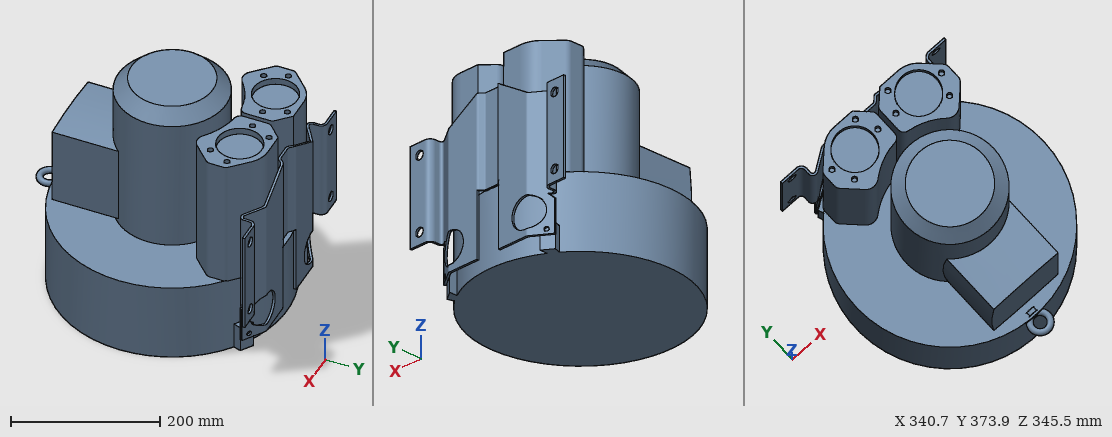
import cadquery as cq
import math

BODY_RADIUS = 170.35
BODY_HEIGHT = 120.0

MOTOR_RADIUS = 79.5
MOTOR_TOP = 345.5
MOTOR_CHAMFER = 19.5

BOX_HALF_WIDTH = 60.0
BOX_FRONT_Y = -150.0
BOX_CENTER_Z = 186.2
BOX_HALF_HEIGHT = 62.0
BOX_BULGE = 3.5

SILENCER_TOP = 317.5
SILENCER_X = 57.8
SILENCER_Y = 126.0
SILENCER_INNER_X = 3.3
SILENCER_OUTER_X = 112.3
SILENCER_BACK_Y = 167.6
SILENCER_OUTER_LOW_Y = 102.7
SILENCER_OUTER_HIGH_Y = 130.0
SILENCER_INNER_CUT = 21.5
SILENCER_EDGE_FILLET = 10.0
SILENCER_BACK_FILLET = 40.0
SILENCER_FRONT_FILLET = 16.5
MOTOR_CLEARANCE_RADIUS = 97.5
PORT_RADIUS = 32.3
PORT_DEPTH = 10.0
PORT_HOLE_CIRCLE = 41.5
PORT_HOLE_DIAMETER = 8.2
PORT_HOLE_TILT = 47.0

SHEET = 3.5
CURL_BEND_RADIUS = 5.5
FLANGE_BEND_RADIUS = 8.0
MIDDLE_BEND_RADIUS = 4.0
CREST_CORNER_RADIUS = 7.0
WING_ANGLE = 34.0
FLAT_Y = 171.6
FLANGE_Y = 172.97
DIP_Y = 163.8
DIP_HALF_WIDTH = 12.7
FLAT_INNER_X = 20.5
FLAT_OUTER_X = 75.0
CURL_X = 111.5
FLANGE_OUTER_X = 148.2
FLANGE_BOTTOM = 82.0
FLANGE_TOP = 236.5
CREST_TOP = 271.0
CREST_HALF_WIDTH = 20.0
CREST_FOOT_X = 77.0
LEG_BOTTOM = 21.0
LEG_INNER_X = 21.0
LEG_OUTER_X = 107.0
LEG_CHAMFER = 7.5
ARCH_TOP = 125.0
FLANGE_HOLE_X = 130.3
FLANGE_HOLE_DIAMETER = 14.0
FLANGE_HOLE_INSET = 19.3
WINDOW_X = 72.5
WINDOW_Z = 57.6
WINDOW_RADIUS = 25.6

PAD_OUTER_X = 104.5
PAD_ROOT_OUTER_X = 99.0
PAD_INNER_X = 87.0
PAD_ROOT_Y = 130.0
PAD_HEIGHT = 40.0
SCREW_X = 97.0
SPACER_RADIUS = 5.3
SPACER_THICKNESS = 1.2
SCREW_Z = 28.7
SCREW_HOLE_DIAMETER = 7.0

EYE_Y = -180.3
EYE_Z = 112.0
EYE_RADIUS = 14.1
EYE_WIRE_RADIUS = 4.8
COLLAR_RADIUS = 10.0
COLLAR_BACK_Y = -160.0
COLLAR_LENGTH = 6.5


def motor():
    barrel = cq.Workplane("XY").circle(MOTOR_RADIUS).extrude(MOTOR_TOP)
    return barrel.faces(">Z").chamfer(MOTOR_CHAMFER)


def terminal_box():
    left = -BOX_HALF_WIDTH
    right = BOX_HALF_WIDTH
    top = BOX_HALF_HEIGHT
    corner_x = left + BOX_BULGE
    corner_z = top - BOX_BULGE
    outline = (
        cq.Workplane("XZ", origin=(0, 0, BOX_CENTER_Z))
        .moveTo(right, -corner_z)
        .lineTo(right, corner_z)
        .threePointArc((0, top), (corner_x, corner_z))
        .threePointArc((left, 0), (corner_x, -corner_z))
        .threePointArc((0, -top), (right, -corner_z))
        .close()
    )
    return outline.extrude(-BOX_FRONT_Y)


def left_silencer():
    height = SILENCER_TOP - BODY_HEIGHT
    outer_back_x = SILENCER_OUTER_X - (SILENCER_BACK_Y - SILENCER_OUTER_HIGH_Y)
    inner_side = (-SILENCER_INNER_X, SILENCER_BACK_Y - SILENCER_INNER_CUT)
    inner_back = (-SILENCER_INNER_X - SILENCER_INNER_CUT, SILENCER_BACK_Y)
    outer_back = (-outer_back_x, SILENCER_BACK_Y)
    outer_high = (-SILENCER_OUTER_X, SILENCER_OUTER_HIGH_Y)
    outer_low = (-SILENCER_OUTER_X, SILENCER_OUTER_LOW_Y)

    offset = SILENCER_OUTER_X - SILENCER_OUTER_LOW_Y
    root = math.sqrt(2 * MOTOR_CLEARANCE_RADIUS**2 - offset**2)
    front = (-(root + offset) / 2, (root - offset) / 2)
    inner_front = (-SILENCER_INNER_X, math.sqrt(MOTOR_CLEARANCE_RADIUS**2 - SILENCER_INNER_X**2))
    arc_angle = (math.atan2(front[1], front[0]) + math.atan2(inner_front[1], inner_front[0])) / 2
    arc_middle = (
        MOTOR_CLEARANCE_RADIUS * math.cos(arc_angle),
        MOTOR_CLEARANCE_RADIUS * math.sin(arc_angle),
    )
    column = (
        cq.Workplane("XY", origin=(0, 0, BODY_HEIGHT))
        .polyline([inner_front, inner_side, inner_back, outer_back, outer_high, outer_low, front])
        .threePointArc(arc_middle, inner_front)
        .close()
        .extrude(height)
    )

    corner_fillets = [
        (inner_side, SILENCER_EDGE_FILLET),
        (outer_back, SILENCER_BACK_FILLET),
        (outer_high, SILENCER_EDGE_FILLET),
        (outer_low, SILENCER_EDGE_FILLET),
        (inner_front, SILENCER_EDGE_FILLET),
        (front, SILENCER_FRONT_FILLET),
    ]
    mid_z = BODY_HEIGHT + height / 2
    for (x, y), radius in corner_fillets:
        corner = cq.selectors.NearestToPointSelector((x, y, mid_z))
        column = column.edges(corner).fillet(radius)

    port = cq.Workplane("XY", origin=(-SILENCER_X, SILENCER_Y, SILENCER_TOP - PORT_DEPTH))
    column = column.cut(port.circle(PORT_RADIUS).extrude(PORT_DEPTH))
    for angle in (0, PORT_HOLE_TILT, 180, 180 + PORT_HOLE_TILT):
        x = PORT_HOLE_CIRCLE * math.cos(math.radians(angle))
        y = PORT_HOLE_CIRCLE * math.sin(math.radians(angle))
        column = column.cut(port.center(x, y).circle(PORT_HOLE_DIAMETER / 2).extrude(PORT_DEPTH))
    return column


def wing_y(x):
    """Mid-sheet Y of the sloping bracket wing at a distance x from the middle."""
    return FLAT_Y - (x - FLAT_OUTER_X) * math.tan(math.radians(WING_ANGLE))


def wing_plane(z):
    """Plane on the inner face of the left wing: local X along the wing, normal pointing outward."""
    angle = math.radians(WING_ANGLE)
    normal = cq.Vector(-math.sin(angle), math.cos(angle), 0)
    along = cq.Vector(math.cos(angle), math.sin(angle), 0)
    origin = cq.Vector(-SCREW_X, wing_y(SCREW_X), z) - normal * (SHEET / 2)
    return cq.Plane(origin=origin, xDir=along, normal=normal)


def left_pad():
    setback = (SHEET / 2 + SPACER_THICKNESS) / math.cos(math.radians(WING_ANGLE))
    outline = [
        (-PAD_ROOT_OUTER_X, PAD_ROOT_Y),
        (-PAD_OUTER_X, wing_y(PAD_OUTER_X) - setback),
        (-PAD_INNER_X, wing_y(PAD_INNER_X) - setback),
        (-PAD_INNER_X, PAD_ROOT_Y),
    ]
    pad = cq.Workplane("XY").polyline(outline).close().extrude(PAD_HEIGHT)
    spacer = (
        cq.Workplane(wing_plane(SCREW_Z))
        .workplane(offset=-SPACER_THICKNESS)
        .circle(SPACER_RADIUS)
        .extrude(SPACER_THICKNESS)
    )
    return pad.union(spacer)


def eye_bolt():
    ring = cq.Workplane(
        cq.Solid.makeTorus(EYE_RADIUS, EYE_WIRE_RADIUS, cq.Vector(0, EYE_Y, EYE_Z), cq.Vector(0, 0, 1))
    )
    collar = (
        cq.Workplane("XZ", origin=(0, COLLAR_BACK_Y, EYE_Z)).circle(COLLAR_RADIUS).extrude(COLLAR_LENGTH)
    )
    return ring.union(collar)


def pump_housing(eye):
    body = cq.Workplane("XY").circle(BODY_RADIUS).extrude(BODY_HEIGHT)
    body = body.union(motor()).union(terminal_box())
    for feature in (left_silencer(), left_pad()):
        body = body.union(feature).union(feature.mirror("YZ"))
    return body.cut(eye)


def bent_sheet(half_path, bottom, top):
    """Sheet swept along a path given for the right half as (x, y, bend radius) points."""
    points = [(-x, y, radius) for x, y, radius in reversed(half_path)] + half_path
    mid_z = (bottom + top) / 2
    wire = cq.Wire.makePolygon([cq.Vector(x, y, mid_z) for x, y, _ in points])
    for x, y, radius in points[1:-1]:
        corner = [v for v in wire.Vertices() if math.hypot(v.X - x, v.Y - y) < SHEET / 2]
        wire = wire.fillet(radius, corner)
    start_x, start_y, _ = points[0]
    next_x, next_y, _ = points[1]
    start = cq.Plane(
        origin=(start_x, start_y, mid_z),
        xDir=(0, 0, 1),
        normal=(next_x - start_x, next_y - start_y, 0),
    )
    return cq.Workplane(start).rect(top - bottom, SHEET).sweep(cq.Workplane(wire))


def through_y(outline):
    """Prism from the middle of the body to well behind the bracket."""
    return outline.extrude(-2 * BODY_RADIUS)


def mounting_bracket():
    middle = [
        (DIP_HALF_WIDTH, DIP_Y, MIDDLE_BEND_RADIUS),
        (FLAT_INNER_X, FLAT_Y, MIDDLE_BEND_RADIUS),
        (FLAT_OUTER_X, FLAT_Y, MIDDLE_BEND_RADIUS),
    ]
    flanged = middle + [
        (CURL_X, wing_y(CURL_X), CURL_BEND_RADIUS),
        (CURL_X, FLANGE_Y, FLANGE_BEND_RADIUS),
        (FLANGE_OUTER_X, FLANGE_Y, 0),
    ]
    straight = middle + [(LEG_OUTER_X, wing_y(LEG_OUTER_X), 0)]

    upper_outline = cq.Workplane("XZ").polyline(
        [
            (-FLANGE_OUTER_X, FLANGE_BOTTOM),
            (-FLANGE_OUTER_X, FLANGE_TOP),
            (-CREST_FOOT_X, FLANGE_TOP),
            (-CREST_HALF_WIDTH, CREST_TOP),
            (CREST_HALF_WIDTH, CREST_TOP),
            (CREST_FOOT_X, FLANGE_TOP),
            (FLANGE_OUTER_X, FLANGE_TOP),
            (FLANGE_OUTER_X, FLANGE_BOTTOM),
        ]
    ).close()
    silhouette = through_y(upper_outline)
    for side in (-1, 1):
        for x, z in [(CREST_FOOT_X, FLANGE_TOP), (CREST_HALF_WIDTH, CREST_TOP)]:
            corner = cq.selectors.NearestToPointSelector((side * x, BODY_RADIUS, z))
            silhouette = silhouette.edges(corner).fillet(CREST_CORNER_RADIUS)
    upper = bent_sheet(flanged, FLANGE_BOTTOM, CREST_TOP).intersect(silhouette)
    legs = bent_sheet(straight, LEG_BOTTOM, FLANGE_BOTTOM)
    legs_outline = (
        cq.Workplane("XZ")
        .center(0, (LEG_BOTTOM + FLANGE_BOTTOM) / 2)
        .rect(2 * LEG_OUTER_X, FLANGE_BOTTOM - LEG_BOTTOM)
    )
    legs = legs.intersect(through_y(legs_outline).edges("|Y and >Z").chamfer(LEG_CHAMFER))
    bracket = upper.union(legs)

    arch = cq.Workplane("XZ").rect(2 * LEG_INNER_X, 2 * ARCH_TOP)
    bracket = bracket.cut(through_y(arch))
    hole_levels = (FLANGE_BOTTOM + FLANGE_HOLE_INSET, FLANGE_TOP - FLANGE_HOLE_INSET)
    for side in (-1, 1):
        window = cq.Workplane("XZ").center(side * WINDOW_X, WINDOW_Z).circle(WINDOW_RADIUS)
        bracket = bracket.cut(through_y(window))
        for z in hole_levels:
            hole = cq.Workplane("XZ").center(side * FLANGE_HOLE_X, z).circle(FLANGE_HOLE_DIAMETER / 2)
            bracket = bracket.cut(through_y(hole))
    screw_hole = cq.Workplane(wing_plane(SCREW_Z)).circle(SCREW_HOLE_DIAMETER / 2).extrude(SHEET)
    return bracket.cut(screw_hole).cut(screw_hole.mirror("YZ"))


eye = eye_bolt()
housing = pump_housing(eye)
bracket = mounting_bracket()
result = cq.Compound.makeCompound(
    [
        *housing.solids().vals(),
        *bracket.solids().vals(),
        *eye.solids().vals(),
    ]
)